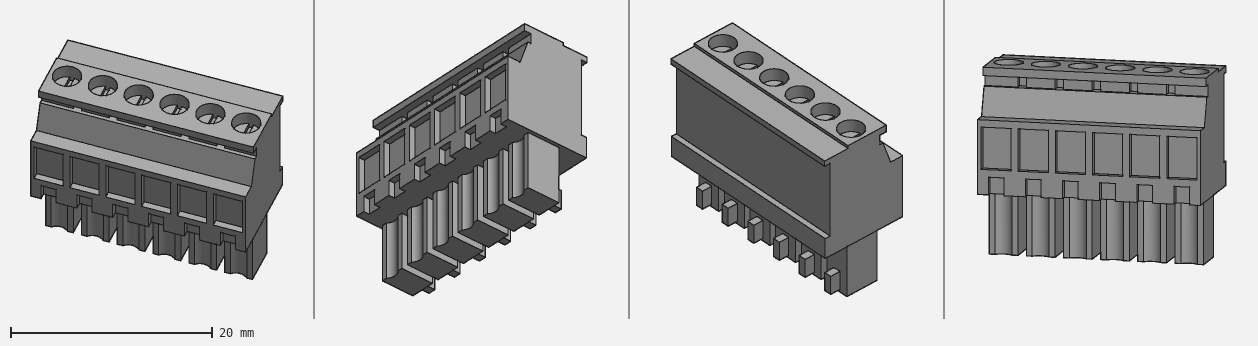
import cadquery as cq


poles = 6
row_length = 22.85
pitch = row_length / poles

slope_foot_y = 1.6
lip_front_y = 2.2
slope_top_y = 2.63
neck_front_y = 3.05
step_y = 7.32
back_wall_y = 9.72
foot_back_y = 10.38
flange_back_y = 10.45

base_z = 6.63
foot_top_z = 9.1
ledge_z = 14.22
slope_top_z = 17.1
flange_bottom_z = 18.1
lip_bottom_z = 18.27
flange_top_z = 18.77
top_z = 19.1

leg_width = 2.95
leg_back_y = 7.09
groove_width = 1.74
groove_radius = 1.21
nub_width = 0.9
nub_back_y = 8.32
nub_bottom_z = 0.32
nub_top_z = 2.55

window_width = 3.09
window_bottom_z = 9.2
window_top_z = 13.49
window_depth = 0.73
notch_width = 1.6
notch_top_z = 8.44
notch_depth = 0.73

slit_width = pitch - leg_width
slit_depth = 0.73

screw_diameter = 2.9
screw_y = 5.2
screw_recess = 1.46
screw_length = 2.29
screw_slot_width = 0.5
screw_slot_depth = 0.45
screw_top_z = top_z - screw_recess
screw_bottom_z = screw_top_z - screw_length

pole_centers = [(i + 1 / 2) * pitch for i in range(poles)]
pole_borders = [i * pitch for i in range(1, poles)]


def block(center_x, width, y_range, z_range):
    """Box centred on center_x that fills the given Y and Z ranges."""
    y_min, y_max = y_range
    z_min, z_max = z_range
    box = cq.Workplane("XY").box(width, y_max - y_min, z_max - z_min, centered=(True, False, False))
    return box.translate((center_x, y_min, z_min))


def upright_cylinder(center_x, diameter, z_range):
    """Cylinder on the screw axis of one pole."""
    z_min, z_max = z_range
    disc = cq.Workplane("XY").workplane(offset=z_min).center(center_x, screw_y).circle(diameter / 2)
    return disc.extrude(z_max - z_min)


def make_shell():
    """Side profile of the housing, extruded along the whole row."""
    profile = [
        (0, base_z),
        (0, ledge_z),
        (slope_foot_y, ledge_z),
        (slope_top_y, slope_top_z),
        (neck_front_y, slope_top_z),
        (neck_front_y, lip_bottom_z),
        (lip_front_y, lip_bottom_z),
        (lip_front_y, top_z),
        (step_y, top_z),
        (step_y, flange_top_z),
        (flange_back_y, flange_top_z),
        (flange_back_y, flange_bottom_z),
        (back_wall_y, flange_bottom_z),
        (back_wall_y, foot_top_z),
        (foot_back_y, foot_top_z),
        (foot_back_y, base_z),
    ]
    return cq.Workplane("YZ").polyline(profile).close().extrude(row_length)


def make_leg(center_x):
    """Plug leg with a round groove down its front and a nub on its back."""
    leg = block(center_x, leg_width, (neck_front_y, leg_back_y), (0, base_z))
    nub = block(center_x, nub_width, (leg_back_y, nub_back_y), (nub_bottom_z, nub_top_z))
    axis_offset = (groove_radius**2 - (groove_width / 2) ** 2) ** 0.5
    groove = (
        cq.Workplane("XY")
        .center(center_x, neck_front_y - axis_offset)
        .circle(groove_radius)
        .extrude(base_z)
    )
    return leg.union(nub).cut(groove)


def make_housing():
    housing = make_shell()
    for x in pole_centers:
        window = block(x, window_width, (0, window_depth), (window_bottom_z, window_top_z))
        notch = block(x, notch_width, (0, notch_depth), (base_z, notch_top_z))
        screw_hole = upright_cylinder(x, screw_diameter, (screw_bottom_z, top_z))
        housing = housing.union(make_leg(x)).cut(window).cut(notch).cut(screw_hole)
    for x in pole_borders:
        slit_back_y = neck_front_y + slit_depth
        slit = block(x, slit_width, (neck_front_y, slit_back_y), (slope_top_z, lip_bottom_z))
        housing = housing.cut(slit)
    return housing


def make_screw(center_x):
    """Slotted screw that fills its hole up to the recess."""
    screw = upright_cylinder(center_x, screw_diameter, (screw_bottom_z, screw_top_z))
    slot_ends_y = (screw_y - screw_diameter / 2, screw_y + screw_diameter / 2)
    slot = block(center_x, screw_slot_width, slot_ends_y, (screw_top_z - screw_slot_depth, screw_top_z))
    return screw.cut(slot)


housing = make_housing()
screws = [make_screw(x) for x in pole_centers]

result = cq.Compound.makeCompound([housing.val(), *[screw.val() for screw in screws]])